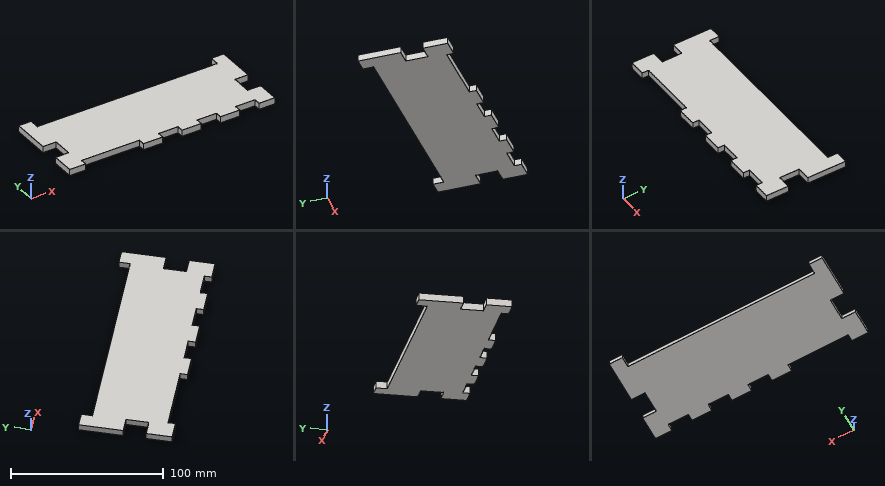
import cadquery as cq

length = 160.0
width = 62.5
thickness = 5.0

ear_width = 10.0
ear_height = 7.5

notch_depth = 10.2
notch_width = 15.2
notch_offset = 17.5

foot_width = 12.5
finger_depth = thickness
finger_steps = 9
finger_pitch = (length - 2 * foot_width) / finger_steps
gaps = [(0, 3), (4, 1), (6, 1), (8, 1)]


def block(x, y, size_x, size_y):
    """Full-thickness block with its lowest corner at (x, y)."""
    return cq.Workplane("XY").box(size_x, size_y, thickness, centered=False).translate((x, y, 0))


result = block(0, 0, length, width)

result = result.cut(block(ear_width, width - ear_height, length - 2 * ear_width, ear_height))

for notch_x in (0, length - notch_depth):
    result = result.cut(block(notch_x, notch_offset, notch_depth, notch_width))

for first_step, steps_wide in gaps:
    gap_x = foot_width + first_step * finger_pitch
    result = result.cut(block(gap_x, 0, steps_wide * finger_pitch, finger_depth))